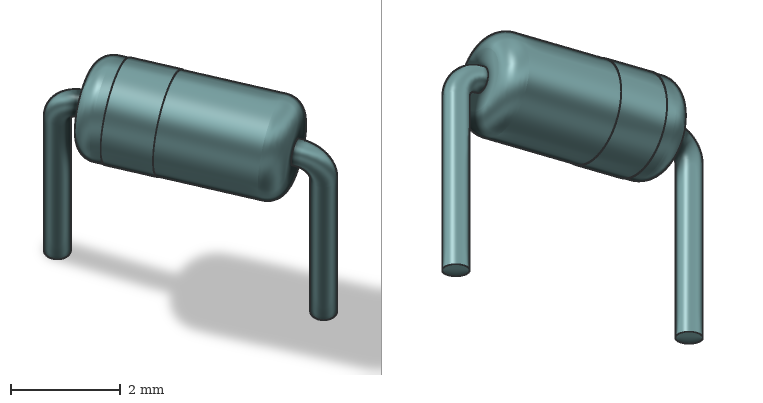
import cadquery as cq

lead_span = 5.58
lead_diameter = 0.5
bend_radius = 0.5
lead_drop = 4.0
body_length = 4.0
body_diameter = 2.0
body_edge_radius = 0.4
band_diameter = 2.02
band_width = 1.0
band_offset = 0.6

lead_x = (lead_span - lead_diameter) / 2


def axial_cylinder(start_x, length, diameter):
    """Cylinder on the body axis, running toward +X from start_x."""
    return cq.Workplane("YZ", origin=(start_x, 0, 0)).circle(diameter / 2).extrude(length)


def make_body():
    body = axial_cylinder(-body_length / 2, body_length, body_diameter)
    return body.edges("%CIRCLE").fillet(body_edge_radius)


def make_band():
    return axial_cylinder(-body_length / 2 + band_offset, band_width, band_diameter)


def make_leads():
    """One wire: up the left lead, through the body and down the right lead."""
    bend_end_x = lead_x - bend_radius
    path = (
        cq.Workplane("XZ")
        .moveTo(-lead_x, -lead_drop)
        .lineTo(-lead_x, -bend_radius)
        .tangentArcPoint((-bend_end_x, 0), relative=False)
        .lineTo(bend_end_x, 0)
        .tangentArcPoint((lead_x, -bend_radius), relative=False)
        .lineTo(lead_x, -lead_drop)
    )
    section = cq.Workplane("XY", origin=(-lead_x, 0, -lead_drop)).circle(lead_diameter / 2)
    return section.sweep(path)


result = make_body().union(make_band()).union(make_leads())